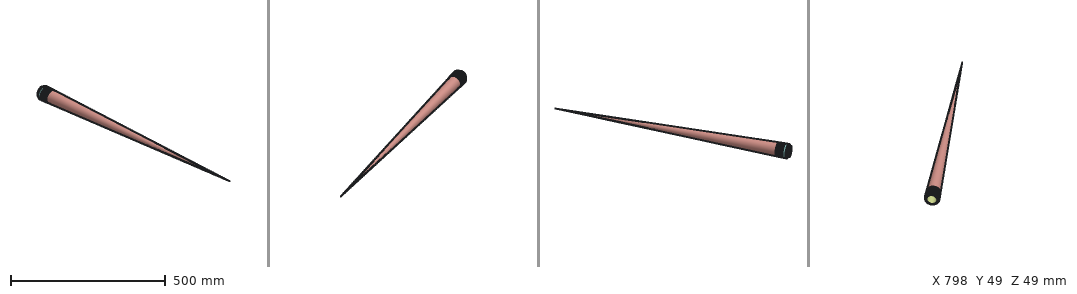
import cadquery as cq

length = 798.0
collar_radius = 49.0 / 2
tip_radius = 0.2

spigot_radius = 38.0 / 2
spigot_length = 5.5

shoulder_radius = 22.0
bevel_end_x = 8.0

bore_radius = 35.0 / 2
bore_depth = 790.0

knurl_start = 17.5
knurl_end = 42.0
ring_depth = 1.0
slot_depth = 0.6
ring_count = 6
slot_count = 32
slot_width = 2.0
ring_pitch = (knurl_end - knurl_start) / (ring_count - 0.5)
ring_width = ring_pitch / 2

taper = (collar_radius - tip_radius) / (length - knurl_start)


def skin_radius(x):
    """Radius of the conical outer surface at a distance x along the axis."""
    return collar_radius - taper * (x - knurl_start)


def revolve_about_x(profile):
    return profile.close().revolve(360, (0, 0, 0), (1, 0, 0))


def make_cone():
    profile = (
        cq.Workplane("XY")
        .moveTo(0, bore_radius)
        .lineTo(0, spigot_radius)
        .lineTo(spigot_length, spigot_radius)
        .lineTo(spigot_length, shoulder_radius)
        .lineTo(bevel_end_x, collar_radius)
    )
    for i in range(ring_count):
        groove_start = knurl_start + i * ring_pitch
        groove_end = groove_start + ring_width
        profile = (
            profile.lineTo(groove_start, skin_radius(groove_start))
            .lineTo(groove_start, skin_radius(groove_start) - ring_depth)
            .lineTo(groove_end, skin_radius(groove_end) - ring_depth)
            .lineTo(groove_end, skin_radius(groove_end))
        )
    profile = profile.lineTo(length, tip_radius).lineTo(length, 0).lineTo(bore_depth, 0)
    return revolve_about_x(profile)


def make_slot_cutters():
    """Lengthwise knurl slots, with floors that follow the taper."""
    seam_offset = 0.5
    outside = collar_radius + ring_depth
    cutter = (
        cq.Workplane("XZ")
        .moveTo(knurl_start, skin_radius(knurl_start) - slot_depth)
        .lineTo(knurl_end, skin_radius(knurl_end) - slot_depth)
        .lineTo(knurl_end, outside)
        .lineTo(knurl_start, outside)
        .close()
        .extrude(slot_width / 2, both=True)
    )
    cutters = []
    for i in range(slot_count):
        angle = seam_offset + i * 360 / slot_count
        cutters.append(cutter.rotate((0, 0, 0), (1, 0, 0), angle).val())
    return cq.Workplane(cq.Compound.makeCompound(cutters))


result = make_cone().cut(make_slot_cutters())